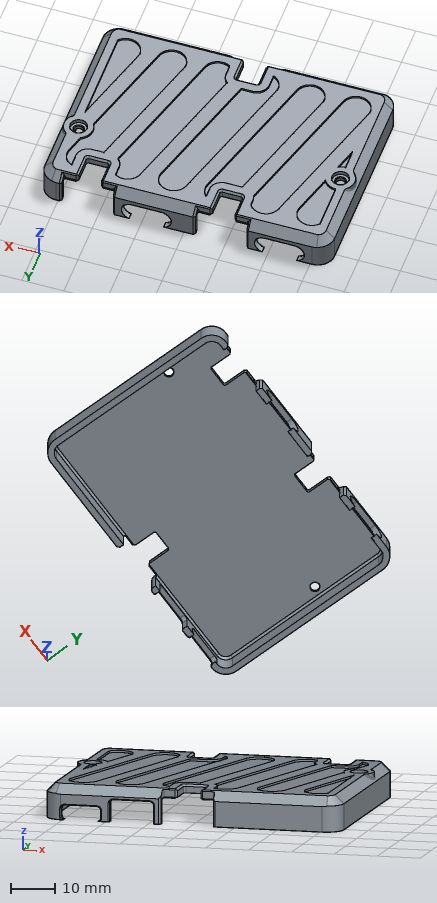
import cadquery as cq
import math

length = 69.0
width = 49.0
height = 8.0
corner_radius = 4.0
side_chamfer = 2.0
end_chamfer = 2.15
wall = 1.5
roof = 2.0
ceiling_chamfer = 0.55
bevel_angle = 45
reach = 0.1

boss_x = length / 2 - corner_radius
boss_radius = 3.45
boss_blend = 0.5
boss_centers = [(-boss_x, 4.5), (boss_x, 8.5)]
screw_diameter = 2.2
counterbore_diameter = 4.0
counterbore_depth = 1.0
screw_chamfer = 0.2

notches = [(-1.1, -1), (-8.7, 1), (23.1, 1)]
recess_width = 12.2
recess_corner_radius = 0.35
recess_depth = 1.85
stem_width = 5.4
stem_end_y = 16.6
stem_corner_radius = 0.5
notch_chamfer = 0.5

groove_count = 7
groove_pitch = 11.0
groove_radius = 3.45
groove_rise = 33.7
groove_run = 10.0
groove_depth = 0.5
groove_margin = 2.0

port_cut_depth = 1.5 * wall
port_corner_radius = 1.0
port_chamfer = 0.24
low_port_x = (-30.5, -21.2)
low_port_z = (-0.1, 3.4)
tall_port_x = (-19.2, -8.8)
tall_port_top = 5.1
oval_length = 11.9
oval_radius = 2.4
oval_center_z = 2.35
oval_centers_x = [-22.7, 9.0]


def make_shell():
    """Solid block with rounded corners and a chamfered top rim."""
    block = cq.Workplane("XY").rect(length, width).extrude(height)
    block = block.edges("|Z").fillet(corner_radius)
    block = block.faces(">Z").chamfer(side_chamfer)
    wedge = (
        cq.Workplane("YZ")
        .moveTo(width / 2, height - end_chamfer)
        .lineTo(width / 2 - end_chamfer, height)
        .lineTo(width / 2, height)
        .close()
        .extrude(length / 2, both=True)
    )
    return block.cut(wedge).cut(wedge.mirror("XZ"))


def cavity():
    """Inner space, with its ceiling edge parallel to the outer chamfer."""
    space = cq.Workplane("XY").rect(length - 2 * wall, width - 2 * wall).extrude(height - roof)
    space = space.edges("|Z").fillet(corner_radius - wall)
    return space.faces(">Z").chamfer(ceiling_chamfer)


def cut_recesses(body):
    """Open the wall at each notch, bevel its outer edges and round its inner corners."""
    for x, side in notches:
        y = side * width / 2
        recess = cq.Workplane("XY").center(x, y).rect(recess_width, 2 * recess_depth).extrude(height)
        body = body.cut(recess)
        for end in (-1, 1):
            edge_x = x + end * recess_width / 2
            outer_edges = cq.selectors.BoxSelector(
                (edge_x - reach, side * (width / 2 - recess_depth / 2), reach),
                (edge_x + reach, side * (width / 2 + reach), height - reach),
            )
            body = body.edges(outer_edges).chamfer(notch_chamfer)
            inner_corner = cq.selectors.BoxSelector(
                (edge_x - reach, side * (width / 2 - recess_depth - reach), reach),
                (edge_x + reach, side * (width / 2 - recess_depth + reach), height),
            )
            body = body.edges("|Z").edges(inner_corner).fillet(recess_corner_radius)
    return body


def stem_outline(x, side, margin):
    """Round-ended notch stem, widened by a margin and open past the long edge."""
    inner_y = stem_end_y - margin
    stem_length = width - inner_y
    return (
        cq.Sketch()
        .push([(x, side * (inner_y + stem_length / 2))])
        .rect(stem_width + 2 * margin, stem_length)
        .reset()
        .vertices()
        .fillet(stem_corner_radius + margin)
    )


def stem(x, side):
    """Cutter for the narrow notch, flared along its top edge and at its mouth."""
    straight = cq.Workplane("XY").placeSketch(stem_outline(x, side, 0)).extrude(height)
    flare = (
        cq.Workplane("XY", origin=(0, 0, height))
        .placeSketch(stem_outline(x, side, notch_chamfer))
        .extrude(-notch_chamfer, taper=bevel_angle)
    )
    mouth_y = side * (width / 2 - recess_depth)
    half = stem_width / 2
    mouth = (
        cq.Workplane("XY")
        .polyline([
            (x - half - notch_chamfer, mouth_y),
            (x + half + notch_chamfer, mouth_y),
            (x + half, mouth_y - side * notch_chamfer),
            (x - half, mouth_y - side * notch_chamfer),
        ])
        .close()
        .extrude(height)
    )
    return straight.union(flare).union(mouth)


def grooves():
    """Slanted slots, kept clear of the rim, the notches and the bosses."""
    angle = math.degrees(math.atan2(groove_rise, groove_run))
    slot_length = math.hypot(groove_rise, groove_run) + 2 * groove_radius
    middle = (groove_count - 1) / 2
    centers = [((i - middle) * groove_pitch, 0) for i in range(groove_count)]
    floor = cq.Workplane("XY", origin=(0, 0, height - groove_depth))
    slots = floor.pushPoints(centers).slot2D(slot_length, 2 * groove_radius, angle).extrude(groove_depth)
    slots = slots.intersect(floor.rect(2 * boss_x, width).extrude(groove_depth))
    for x, side in notches:
        clearance = stem_outline(x, side, notch_chamfer + groove_margin)
        slots = slots.cut(floor.placeSketch(clearance).extrude(groove_depth))
    return slots.cut(floor.pushPoints(boss_centers).circle(boss_radius).extrude(groove_depth))


def add_bosses(body):
    """Screw bosses that break out of the chamfer, with a small blend at their foot."""
    base = cq.Workplane("XY", origin=(0, 0, height - roof))
    body = body.union(base.pushPoints(boss_centers).circle(boss_radius).extrude(roof))
    for x, y in boss_centers:
        outer_x = math.copysign(length / 2, x)
        foot = cq.selectors.BoxSelector(
            (x, y - boss_radius, height - roof),
            (outer_x, y + boss_radius, height - reach),
        )
        body = body.edges(foot).fillet(boss_blend)
    return body


def port(x_range, z_range):
    """Cutter through the front wall, flared where it meets the outer face."""
    x = sum(x_range) / 2
    z = sum(z_range) / 2
    size_x = x_range[1] - x_range[0]
    size_z = z_range[1] - z_range[0]
    face = cq.Workplane("XZ", origin=(x, -width / 2, z))

    def outline(margin):
        return (
            cq.Sketch()
            .rect(size_x + 2 * margin, size_z + 2 * margin)
            .vertices()
            .fillet(port_corner_radius + margin)
        )

    opening = face.placeSketch(outline(0)).extrude(-port_cut_depth)
    return opening.union(face.placeSketch(outline(port_chamfer)).extrude(-port_chamfer, taper=bevel_angle))


def oval_ports():
    """Cutter for the two rounded slots through the back wall."""
    centers = [(x, oval_center_z) for x in oval_centers_x]
    back = cq.Workplane("XZ", origin=(0, width / 2, 0))
    return back.pushPoints(centers).slot2D(oval_length, 2 * oval_radius).extrude(port_cut_depth)


def drill_screw_holes(body):
    """Counterbored screw holes with a chamfered inner rim."""
    rim_radius = screw_diameter / 2 + screw_chamfer
    top = cq.Workplane("XY", origin=(0, 0, height)).pushPoints(boss_centers)
    floor = cq.Workplane("XY", origin=(0, 0, height - counterbore_depth)).pushPoints(boss_centers)
    body = body.cut(top.circle(counterbore_diameter / 2).extrude(-counterbore_depth))
    body = body.cut(top.circle(screw_diameter / 2).extrude(-height))
    return body.cut(floor.circle(rim_radius).extrude(-screw_chamfer, taper=bevel_angle))


body = add_bosses(cut_recesses(make_shell())).cut(cavity())
for notch_x, notch_side in notches:
    body = body.cut(stem(notch_x, notch_side))
body = body.cut(grooves())
body = body.cut(port(low_port_x, low_port_z))
body = body.cut(port(tall_port_x, (-tall_port_top, tall_port_top)))
body = body.cut(oval_ports())

result = drill_screw_holes(body)